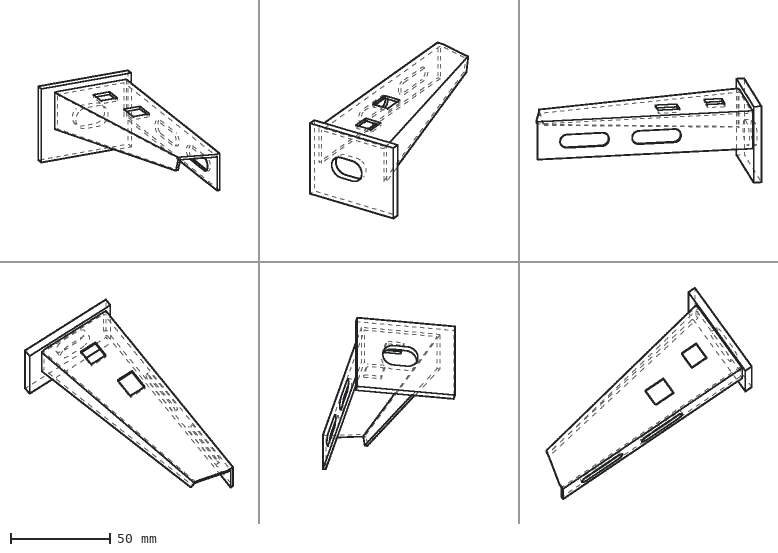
import cadquery as cq
import math

plate_thickness = 4.0
plate_width = 50.0
plate_height = 40.0
plate_slot_length = 18.0
plate_slot_height = 11.3
plate_slot_y = 3.0

arm_end_x = 114.0
sheet = 1.5
arm_height = 20.0
arm_top_drop = 3.0
arm_top_z = plate_height / 2 - arm_top_drop
arm_bottom_z = arm_top_z - arm_height
arm_back_y = 22.2

root_x = 4.5
root_y = -17.9
tip_x = 109.5
tip_y = 1.0
flange_dx = tip_x - root_x
flange_dy = tip_y - root_y
flange_length = math.hypot(flange_dx, flange_dy)
flange_angle = math.degrees(math.atan2(flange_dy, flange_dx))

root_edge = (root_x - plate_thickness) * flange_dx / flange_dy
tip_edge = 3.4
tip_back_width = 3.2

flange_tip_depth = 8.0
flange_tip_setback = 2.0
flange_tip_straight = 1.4

windows = [
    (20.1, 3.0, 9.0, 9.0),
    (45.1, 8.4, 11.1, 9.0),
]

flange_slot_length = 25.0
flange_slot_height = 7.0
flange_slot_rise = 8.9
flange_slot_z = arm_bottom_z + flange_slot_rise
flange_slot_centers_x = [53.1, 90.0]


def make_plate():
    """Rectangular plate with one horizontal fixing slot."""
    plate = cq.Workplane("XY").box(plate_thickness, plate_width, plate_height, centered=(False, True, True))
    slot = (
        cq.Workplane("YZ")
        .center(plate_slot_y, 0)
        .slot2D(plate_slot_length, plate_slot_height)
        .extrude(plate_thickness)
    )
    return plate.cut(slot)


def make_top_sheet():
    """Tapered top of the channel."""
    tip_edge_dx = tip_edge * flange_dy / flange_length
    tip_edge_dy = tip_edge * flange_dx / flange_length
    outline = [
        (plate_thickness, arm_back_y),
        (arm_end_x, arm_back_y),
        (arm_end_x, arm_back_y - tip_back_width),
        (tip_x + tip_edge_dx, tip_y + tip_edge_dy),
        (tip_x, tip_y),
        (root_x, root_y),
        (plate_thickness, root_y + root_edge),
    ]
    return cq.Workplane("XY").workplane(offset=arm_top_z - sheet).polyline(outline).close().extrude(sheet)


def make_back_flange():
    """Straight full-height flange."""
    flange = cq.Workplane("XY").box(arm_end_x - plate_thickness, sheet, arm_height, centered=False)
    return flange.translate((plate_thickness, arm_back_y - sheet, arm_bottom_z))


def make_front_flange():
    """Flange that follows the slanted edge and gets shallower towards the tip."""
    profile = [
        (0, 0),
        (flange_length, 0),
        (flange_length, -flange_tip_straight),
        (flange_length - flange_tip_setback, -flange_tip_depth),
        (0, -arm_height),
    ]
    flange = cq.Workplane("XZ").polyline(profile).close().extrude(-sheet)
    return flange.rotate((0, 0, 0), (0, 0, 1), flange_angle).translate((root_x, root_y, arm_top_z))


def make_arm():
    """Channel with windows in its top and slots in its back flange."""
    arm = make_top_sheet().union(make_back_flange()).union(make_front_flange())
    for x, y, length, width in windows:
        window = cq.Workplane("XY").box(length, width, 2 * sheet).translate((x, y, arm_top_z))
        arm = arm.cut(window)
    for x in flange_slot_centers_x:
        slot = (
            cq.Workplane("XZ", origin=(x, arm_back_y, flange_slot_z))
            .slot2D(flange_slot_length, flange_slot_height)
            .extrude(sheet)
        )
        arm = arm.cut(slot)
    return arm


plate = make_plate()
arm = make_arm()

result = cq.Compound.makeCompound([plate.val(), arm.val()])